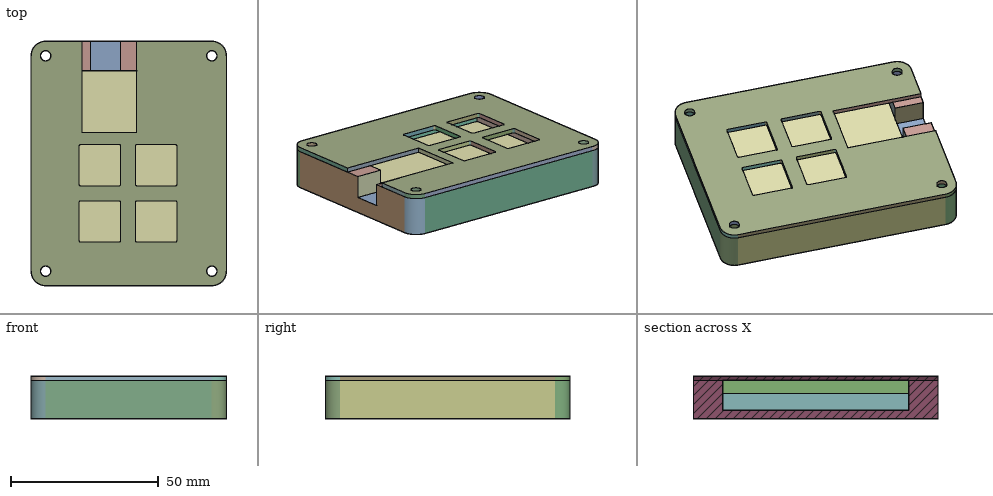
import cadquery as cq

LENGTH_X = 66.3
LENGTH_Y = 82.9
HEIGHT = 14.5
CORNER_RADIUS = 5.0
LID_THICKNESS = 1.5
CASE_HEIGHT = HEIGHT - LID_THICKNESS

SCREW_HOLE_DIAMETER = 3.4
SCREW_SPACING_X = LENGTH_X - 2 * CORNER_RADIUS
SCREW_SPACING_Y = LENGTH_Y - 2 * CORNER_RADIUS

WALL = 9.95
POCKET_FLOOR_Z = 3.0
SLOT_FLOOR_Z = 5.5
SLOT_WIDTH = 10.0
SLOT_CENTER_X = -7.9

BOARD_GAP = 0.2
BOARD_TOP_Z = 8.55

WINDOW_WIDTH = 18.5
WINDOW_DEPTH = 30.9
WINDOW_CENTER_X = -6.55

KEY_OPENING = 14.0
KEY_OPENING_RADIUS = 0.5
KEY_PITCH = 19.1
KEY_GRID_CENTER = (-0.25, -10.1)


def rounded_slab(bottom_z, thickness):
    """Slab with the outline of the enclosure and a screw hole in each corner."""
    return (
        cq.Workplane("XY", origin=(0, 0, bottom_z))
        .rect(LENGTH_X, LENGTH_Y)
        .extrude(thickness)
        .edges("|Z")
        .fillet(CORNER_RADIUS)
        .faces(">Z")
        .workplane()
        .rect(SCREW_SPACING_X, SCREW_SPACING_Y, forConstruction=True)
        .vertices()
        .hole(SCREW_HOLE_DIAMETER)
    )


def back_cutter(center_x, width, depth, bottom_z, top_z):
    """Block that cuts in from the back side over the given depth."""
    return (
        cq.Workplane("XY", origin=(center_x, LENGTH_Y / 2 - depth / 2, bottom_z))
        .rect(width, depth)
        .extrude(top_z - bottom_z)
    )


def make_case():
    """Case with an open pocket and a cable slot above the pocket floor."""
    pocket = (
        cq.Workplane("XY", origin=(0, 0, POCKET_FLOOR_Z))
        .rect(LENGTH_X - 2 * WALL, LENGTH_Y - 2 * WALL)
        .extrude(CASE_HEIGHT - POCKET_FLOOR_Z)
    )
    slot = back_cutter(SLOT_CENTER_X, SLOT_WIDTH, WALL, SLOT_FLOOR_Z, CASE_HEIGHT)
    return rounded_slab(0, CASE_HEIGHT).cut(pocket).cut(slot)


def make_board():
    """Rectangular board filling the lower part of the pocket."""
    inset = WALL + BOARD_GAP
    return (
        cq.Workplane("XY", origin=(0, 0, POCKET_FLOOR_Z))
        .rect(LENGTH_X - 2 * inset, LENGTH_Y - 2 * inset)
        .extrude(BOARD_TOP_Z - POCKET_FLOOR_Z)
    )


def make_lid():
    """Flat lid with the controller window and the key openings."""
    window = back_cutter(WINDOW_CENTER_X, WINDOW_WIDTH, WINDOW_DEPTH, CASE_HEIGHT, HEIGHT)
    key_openings = (
        cq.Workplane("XY", origin=(*KEY_GRID_CENTER, CASE_HEIGHT))
        .rarray(KEY_PITCH, KEY_PITCH, 2, 2)
        .rect(KEY_OPENING, KEY_OPENING)
        .extrude(LID_THICKNESS)
        .edges("|Z")
        .fillet(KEY_OPENING_RADIUS)
    )
    return rounded_slab(CASE_HEIGHT, LID_THICKNESS).cut(window).cut(key_openings)


case = make_case()
board = make_board()
lid = make_lid()

result = cq.Compound.makeCompound([case.val(), board.val(), lid.val()])